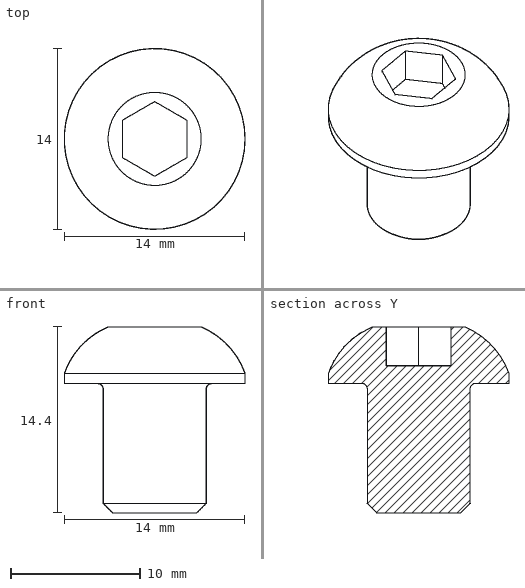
import cadquery as cq
import math

head_diameter = 14.0
head_height = 4.4
head_top_diameter = 7.2
rim_height = 0.8
dome_bulge = 0.52

shank_diameter = 8.0
shank_length = 10.0
tip_chamfer = 0.75
neck_fillet = 0.4

socket_across_flats = 5.0
socket_depth = 3.0

head_radius = head_diameter / 2
head_top_radius = head_top_diameter / 2
shank_radius = shank_diameter / 2
tip_radius = shank_radius - tip_chamfer


def dome_midpoint():
    """Middle of the dome arc, pushed out from the chord between the rim and the top flat."""
    chord_run = head_radius - head_top_radius
    chord_rise = head_height - rim_height
    chord_length = math.hypot(chord_run, chord_rise)
    return (
        (head_radius + head_top_radius) / 2 + dome_bulge * chord_rise / chord_length,
        (head_height + rim_height) / 2 + dome_bulge * chord_run / chord_length,
    )


def make_body():
    """Head, filleted neck and chamfered shank, revolved as one half profile."""
    fillet_center = (shank_radius + neck_fillet, -neck_fillet)
    fillet_offset = neck_fillet * math.sqrt(0.5)
    fillet_midpoint = (fillet_center[0] - fillet_offset, fillet_center[1] + fillet_offset)
    profile = (
        cq.Workplane("XZ")
        .moveTo(0, -shank_length)
        .lineTo(tip_radius, -shank_length)
        .lineTo(shank_radius, -shank_length + tip_chamfer)
        .lineTo(shank_radius, -neck_fillet)
        .threePointArc(fillet_midpoint, (shank_radius + neck_fillet, 0))
        .lineTo(head_radius, 0)
        .lineTo(head_radius, rim_height)
        .threePointArc(dome_midpoint(), (head_top_radius, head_height))
        .lineTo(0, head_height)
        .close()
    )
    return profile.revolve(360, (0, 0, 0), (0, 1, 0))


def make_socket():
    """Hexagonal drive socket with two of its flats facing +X and -X."""
    across_corners = socket_across_flats / math.cos(math.radians(30))
    return (
        cq.Workplane("XY")
        .workplane(offset=head_height - socket_depth)
        .transformed(rotate=(0, 0, 90))
        .polygon(6, across_corners)
        .extrude(socket_depth)
    )


result = make_body().cut(make_socket())